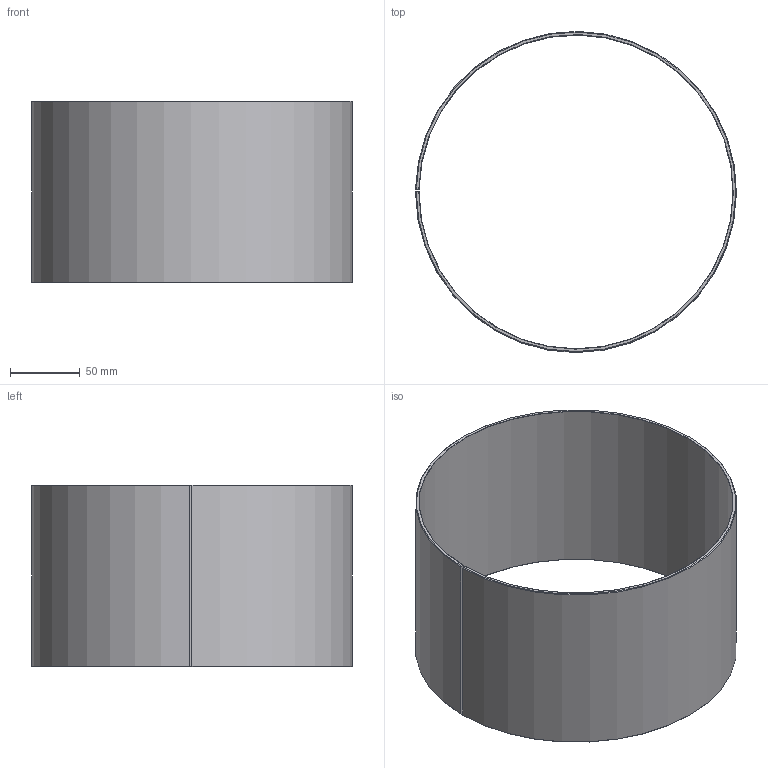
import cadquery as cq

outer_diameter = 230.0
wall_thickness = 2.5
height = 130.0
slit_angle = 1.0
outer_chamfer = 0.5
inner_chamfer = 0.2

outer_radius = outer_diameter / 2
inner_radius = outer_radius - wall_thickness
sweep_angle = 360.0 - slit_angle


def make_wall_section():
    """Wall cross-section on the -X side, with all four corners chamfered."""
    return (
        cq.Workplane("XZ")
        .moveTo(-outer_radius, outer_chamfer)
        .lineTo(-outer_radius, height - outer_chamfer)
        .lineTo(-outer_radius + outer_chamfer, height)
        .lineTo(-inner_radius - inner_chamfer, height)
        .lineTo(-inner_radius, height - inner_chamfer)
        .lineTo(-inner_radius, inner_chamfer)
        .lineTo(-inner_radius - inner_chamfer, 0)
        .lineTo(-outer_radius + outer_chamfer, 0)
        .close()
    )


def make_split_sleeve():
    """Sweep the wall counterclockwise around Z from -X, leaving a slit on the +Y side of the start."""
    return make_wall_section().revolve(sweep_angle, (0, 0, 0), (0, 1, 0))


result = make_split_sleeve()